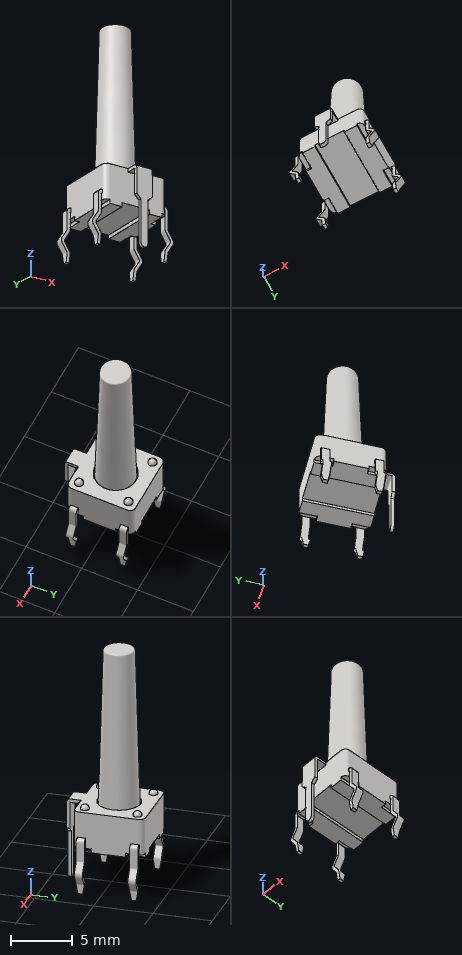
import cadquery as cq
import math

body_width = 6.0
body_height = 3.5
corner_radius = 0.5
stud_radius = 0.37
stud_offset = 2.21

relief_height = 0.35
channel_width = 2.67
side_foot_length = 2.9

plunger_top_z = 17.0
plunger_base_diameter = 3.42
plunger_top_diameter = 2.63
plunger_edge_radius = 0.12
opening_diameter = 3.6

sheet_thickness = 0.31

lead_width = 0.7
lead_offset_y = 2.25
lead_outer_x = 3.4
lead_top_z = 1.26
lead_span = 7.89
kink_angle = math.radians(32.5)
kink_center_z = -1.74
kink_inner_radius = 0.15
kink_outer_radius = kink_inner_radius + sheet_thickness
lead_tip_z = -3.56
lead_tip_width = 0.41
lead_taper_length = 0.77

tab_front_y = -4.25
tab_inner_bend_radius = 0.05
tab_outer_bend_radius = tab_inner_bend_radius + sheet_thickness
tab_width = 1.51
pin_width = 0.68
tab_shoulder_z = 0.9
pin_tip_z = -3.7

half_body = body_width / 2


def corner_signs():
    """Sign pairs of the four quadrants."""
    return [(sx, sy) for sx in (-1, 1) for sy in (-1, 1)]


def box_between(x_range, y_range, z_range):
    """Axis-aligned box between the given limits."""
    size = [high - low for low, high in (x_range, y_range, z_range)]
    corner = (x_range[0], y_range[0], z_range[0])
    return cq.Workplane("XY").box(*size, centered=False).translate(corner)


def rounded_outline(plane, corners):
    """Closed wire through (u, v, radius) corners, each rounded by a tangent arc."""
    path = None
    for i, (u, v, radius) in enumerate(corners):
        corner = cq.Vector(u, v)
        to_previous = (cq.Vector(*corners[i - 1][:2]) - corner).normalized()
        to_next = (cq.Vector(*corners[(i + 1) % len(corners)][:2]) - corner).normalized()
        half_angle = to_previous.getAngle(to_next) / 2
        setback = radius / math.tan(half_angle)
        start = corner + to_previous * setback
        end = corner + to_next * setback
        if path is None:
            path = cq.Workplane(plane).moveTo(start.x, start.y)
        else:
            path = path.lineTo(start.x, start.y)
        if radius > 0:
            center_distance = radius / math.sin(half_angle)
            bisector = (to_previous + to_next).normalized()
            middle = corner + bisector * (center_distance - radius)
            path = path.threePointArc((middle.x, middle.y), (end.x, end.y))
    return path.close()


def make_housing():
    """Round-cornered block with four top studs and relieved underside."""
    housing = cq.Workplane("XY").rect(body_width, body_width).extrude(body_height)
    housing = housing.edges("|Z").fillet(corner_radius)

    channel = cq.Workplane("XY").rect(channel_width, body_width).extrude(relief_height)
    housing = housing.cut(channel)

    step = box_between(
        (half_body - corner_radius, half_body),
        (side_foot_length / 2, half_body),
        (0, relief_height),
    )
    for sx, sy in corner_signs():
        placed = step if sx > 0 else step.mirror("YZ")
        housing = housing.cut(placed if sy > 0 else placed.mirror("XZ"))

    for sx, sy in corner_signs():
        stud = cq.Workplane("XY").sphere(stud_radius)
        housing = housing.union(stud.translate((sx * stud_offset, sy * stud_offset, body_height)))
    return housing


def make_opening():
    """Clearance hole around the plunger, one sheet thickness deep."""
    floor = cq.Workplane("XY").workplane(offset=body_height - sheet_thickness)
    return floor.circle(opening_diameter / 2).extrude(sheet_thickness)


def make_plunger():
    """Slender cone with a rounded top edge, rising from the opening floor."""
    base_z = body_height - sheet_thickness
    plunger = (
        cq.Workplane("XY").workplane(offset=base_z)
        .circle(plunger_base_diameter / 2)
        .workplane(offset=plunger_top_z - base_z)
        .circle(plunger_top_diameter / 2)
        .loft(ruled=True)
    )
    return plunger.faces(">Z").edges().fillet(plunger_edge_radius)


def make_lead():
    """Kinked snap-in lead on the +X side, centred on Y = 0."""
    inner_x = lead_outer_x - sheet_thickness
    apex_x = lead_span / 2 + kink_outer_radius * (1 / math.cos(kink_angle) - 1)
    inner_apex_x = apex_x - sheet_thickness / math.cos(kink_angle)
    kink_half = (apex_x - lead_outer_x) / math.tan(kink_angle)
    inner_half = (inner_apex_x - inner_x) / math.tan(kink_angle)
    root_x = half_body - sheet_thickness
    bend_inner_radius = inner_x - half_body
    bend_outer_radius = lead_outer_x - half_body

    profile = rounded_outline("XZ", [
        (root_x, lead_top_z, 0),
        (lead_outer_x, lead_top_z, bend_outer_radius),
        (lead_outer_x, kink_center_z + kink_half, kink_inner_radius),
        (apex_x, kink_center_z, kink_outer_radius),
        (lead_outer_x, kink_center_z - kink_half, kink_inner_radius),
        (lead_outer_x, lead_tip_z, 0),
        (inner_x, lead_tip_z, 0),
        (inner_x, kink_center_z - inner_half, kink_outer_radius),
        (inner_apex_x, kink_center_z, kink_inner_radius),
        (inner_x, kink_center_z + inner_half, kink_outer_radius),
        (inner_x, lead_top_z - sheet_thickness, bend_inner_radius),
        (root_x, lead_top_z - sheet_thickness, 0),
    ])
    strip = profile.extrude(lead_width / 2, both=True)

    half_width = lead_width / 2
    half_tip = lead_tip_width / 2
    taper_z = lead_tip_z + lead_taper_length
    side = (
        cq.Workplane("YZ")
        .polyline([
            (-half_width, lead_top_z), (-half_width, taper_z), (-half_tip, lead_tip_z),
            (half_tip, lead_tip_z), (half_width, taper_z), (half_width, lead_top_z),
        ])
        .close()
        .extrude(lead_span)
    )
    return strip.intersect(side)


def make_ground_tab():
    """Tab bent down from the top of the front side, narrowing to a round-ended pin."""
    root_y = -half_body + sheet_thickness
    inner_y = tab_front_y + sheet_thickness
    under_z = body_height - sheet_thickness
    strip = rounded_outline("YZ", [
        (root_y, body_height, 0),
        (tab_front_y, body_height, tab_outer_bend_radius),
        (tab_front_y, pin_tip_z, 0),
        (inner_y, pin_tip_z, 0),
        (inner_y, under_z, tab_inner_bend_radius),
        (root_y, under_z, 0),
    ]).extrude(tab_width / 2, both=True)

    half_tab = tab_width / 2
    half_pin = pin_width / 2
    pin_top_z = tab_shoulder_z - (half_tab - half_pin)
    round_z = pin_tip_z + half_pin
    front = (
        cq.Workplane("XZ")
        .moveTo(-half_tab, body_height)
        .lineTo(-half_tab, tab_shoulder_z)
        .lineTo(-half_pin, pin_top_z)
        .lineTo(-half_pin, round_z)
        .threePointArc((0, pin_tip_z), (half_pin, round_z))
        .lineTo(half_pin, pin_top_z)
        .lineTo(half_tab, tab_shoulder_z)
        .lineTo(half_tab, body_height)
        .close()
        .extrude(-tab_front_y)
    )
    return strip.intersect(front)


result = make_housing().cut(make_opening()).union(make_plunger()).union(make_ground_tab())
lead = make_lead()
for sx, sy in corner_signs():
    side_lead = lead if sx > 0 else lead.mirror("YZ")
    result = result.union(side_lead.translate((0, sy * lead_offset_y, 0)))